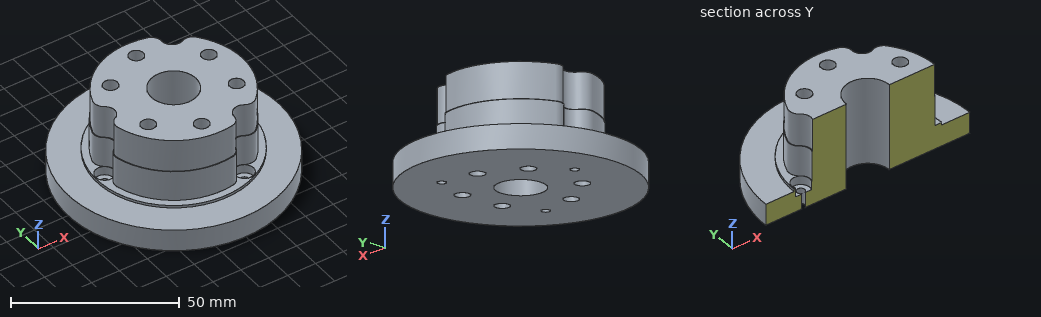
import cadquery as cq
import math

flange_top = 7.9
step_top = 8.8
lower_hub_top = 19.75
overall_height = 31.5

flange_diameter = 76.0
step_diameter = 55.0
bore_diameter = 15.95

hub_radius = 25.1
notch_radius = 3.35
mouth_radius = 3.8
upper_hub_inset = 0.2

screw_count = 3
screw_pitch = 360 / screw_count
first_screw_angle = 56.9
screw_circle_radius = 23.95
screw_hole_diameter = 2.8
seat_diameter = 6.45
seat_depth = 3.1

hub_hole_diameter = 4.95
hub_hole_circle_radius = 18.8
hub_hole_half_spread = 35.0

screw_angles = [first_screw_angle + i * screw_pitch for i in range(screw_count)]
hub_hole_angles = [
    angle + side * hub_hole_half_spread for angle in screw_angles for side in (-1, 1)
]


def circle_points(radius, angles):
    """Points at the given angles, in degrees, on a circle about the Z axis."""
    return [
        (radius * math.cos(math.radians(a)), radius * math.sin(math.radians(a)))
        for a in angles
    ]


screw_points = circle_points(screw_circle_radius, screw_angles)
hub_hole_points = circle_points(hub_hole_circle_radius, hub_hole_angles)


def cylinders(diameter, bottom, top, points=((0, 0),)):
    """Upright cylinders centred on the given points."""
    plane = cq.Workplane("XY").workplane(offset=bottom)
    return plane.pushPoints(points).circle(diameter / 2).extrude(top - bottom)


def notched_hub(bottom, top, inset):
    """Hub tier with its whole outline moved inward by the inset."""
    disc_radius = hub_radius - inset
    cutter_radius = notch_radius + inset
    disc = cylinders(2 * disc_radius, bottom, top)
    notched = disc.cut(cylinders(2 * cutter_radius, bottom, top, screw_points))

    corner_cosine = (
        disc_radius**2 + screw_circle_radius**2 - cutter_radius**2
    ) / (2 * disc_radius * screw_circle_radius)
    corner_spread = math.degrees(math.acos(corner_cosine))
    corner_angles = [a + side * corner_spread for a in screw_angles for side in (-1, 1)]
    middle = (bottom + top) / 2
    corners = [
        notched.edges(cq.selectors.NearestToPointSelector((x, y, middle))).val()
        for x, y in circle_points(disc_radius, corner_angles)
    ]
    return notched.newObject(corners).fillet(mouth_radius - inset)


result = cylinders(flange_diameter, 0, flange_top)
result = result.union(cylinders(step_diameter, flange_top, step_top))
result = result.cut(cylinders(seat_diameter, step_top - seat_depth, step_top, screw_points))
result = result.union(notched_hub(step_top, lower_hub_top, 0))
result = result.union(notched_hub(lower_hub_top, overall_height, upper_hub_inset))

result = result.cut(cylinders(bore_diameter, 0, overall_height))
result = result.cut(cylinders(screw_hole_diameter, 0, overall_height, screw_points))
result = result.cut(cylinders(hub_hole_diameter, 0, overall_height, hub_hole_points))